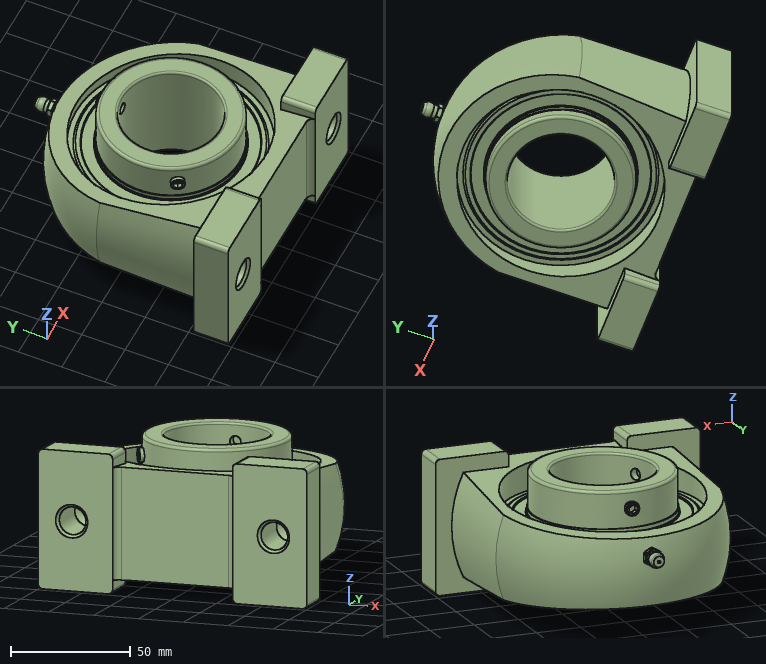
import cadquery as cq
import math


BASE_LENGTH = 120.0
BASE_HEIGHT = 60.0
BASE_Y = -54.2
FOOT_LENGTH = 33.2
FOOT_THICKNESS = 15.8
FOOT_CORNER_R = 2.0
RELIEF_DEPTH = 2.9
FOOT_GAP = BASE_LENGTH - 2 * FOOT_LENGTH

BOLT_SPACING = 90.0
BOLT_HOLE_D = 11.9
BOLT_HOLE_DEPTH = 20.0
BOLT_CHAMFER = 1.2
DRILL_TIP_ANGLE = 118.0

CROWN_R = 53.6
FLANK_R = 52.7
FACE_HALF_HEIGHT = 19.7
FACE_TAPER = 5.0
FLANK_END_Y = math.sqrt(CROWN_R**2 - FLANK_R**2)
RELIEF_Y = BASE_Y + RELIEF_DEPTH

ARC_MID = 1 - math.sqrt(0.5)

RECESS_D = 87.1
SEAT_SPHERE_R = 42.5
SEAT_HALF_WIDTH = 11.0

RING_HALF_WIDTH = 11.6
RING_FACE_OUTER_R = 40.1
RING_FACE_INNER_R = 38.0
SHIELD_R = 37.7
SHIELD_RECESS = 0.5
SHIELD_HALF_WIDTH = RING_HALF_WIDTH - SHIELD_RECESS
RIM_D = 64.8
RIM_HEIGHT = 0.5
SHOULDER_D = 63.8
SHOULDER_HEIGHT = 1.9
COLLAR_D = 63.0
COLLAR_TOP_Z = 30.2
COLLAR_BOTTOM_Z = -19.0
COLLAR_FILLET = 1.3
BORE_D = 45.0
BORE_FILLET = 1.0

SCREW_D = 6.0
SCREW_Z = 22.1
SCREW_END_R = 33.6
SCREW_EDGE_CHAMFER = 0.4
SCREW_AZIMUTHS = (90.0, 210.0)
SCREW_SOCKET_FLATS = 3.5
SCREW_SOCKET_DEPTH = 2.4
SCREW_BORE_D = 4.9
SCREW_BORE_END_R = 26.4

NIPPLE_Z = 7.3
NIPPLE_STEM_D = 5.9
NIPPLE_ROOT_Y = 48.0
NIPPLE_HEX_Y = 53.6
NIPPLE_HEX_LENGTH = 2.2
NIPPLE_HEX_FLATS = 7.0
NIPPLE_HEX_CHAMFER = 0.4
NIPPLE_HEAD_D = 6.8
NIPPLE_HEAD_START_Y = 57.6
NIPPLE_HEAD_END_Y = 60.8
NIPPLE_FACE_D = 4.8
NIPPLE_FACE_Y = 62.0
NIPPLE_TIP_D = 1.1
NIPPLE_TIP_Y = 62.5

REVOLVE_AXIS = ((0, 0, 0), (0, 1, 0))


def cylinder_along_y(diameter, start_y, end_y, z=0.0):
    """Solid cylinder parallel to Y between two Y positions."""
    return cq.Workplane(
        cq.Solid.makeCylinder(diameter / 2, end_y - start_y, cq.Vector(0, start_y, z), cq.Vector(0, 1, 0))
    )


def hexagon_corners(flats):
    """Size of a hexagon across its corners, from its size across flats."""
    return flats / math.cos(math.radians(30))


def face_height_at(y):
    """Z of the upper tapered face at a given Y; the lower face mirrors it."""
    return FACE_HALF_HEIGHT - y * math.tan(math.radians(FACE_TAPER))


def tapered_slab():
    """Slab whose upper and lower faces converge towards the crown."""
    base_z = face_height_at(RELIEF_Y)
    crown_z = face_height_at(CROWN_R)
    outline = [(RELIEF_Y, -base_z), (CROWN_R, -crown_z), (CROWN_R, crown_z), (RELIEF_Y, base_z)]
    return cq.Workplane("YZ").polyline(outline).close().extrude(CROWN_R, both=True)


def housing_body():
    """Barrel-shaped flanks running into a spherical crown, trimmed to the tapered faces."""
    flanks = cylinder_along_y(2 * FLANK_R, BASE_Y, FLANK_END_Y)
    ball = cq.Workplane("XY").sphere(CROWN_R)
    beyond_flanks = cq.Workplane("XY").box(
        2 * CROWN_R, CROWN_R, 2 * CROWN_R, centered=(True, False, True)
    ).translate((0, FLANK_END_Y, 0))
    crown = ball.intersect(beyond_flanks)
    return flanks.union(crown).intersect(tapered_slab())


def foot(side):
    centre_x = side * (BASE_LENGTH - FOOT_LENGTH) / 2
    block = cq.Workplane("XY").box(
        FOOT_LENGTH, FOOT_THICKNESS, BASE_HEIGHT, centered=(True, False, True)
    )
    return block.edges("|Y").fillet(FOOT_CORNER_R).translate((centre_x, BASE_Y, 0))


def relief_fillet(side):
    """Concave round between the relieved base face and the inner side of a foot."""
    r = RELIEF_DEPTH
    wall_x = side * FOOT_GAP / 2
    mid = r * ARC_MID
    return (
        cq.Workplane("XY")
        .moveTo(wall_x, RELIEF_Y)
        .lineTo(wall_x - side * r, RELIEF_Y)
        .threePointArc((wall_x - side * mid, RELIEF_Y - mid), (wall_x, BASE_Y))
        .close()
        .extrude(face_height_at(RELIEF_Y), both=True)
    )


def bolt_hole(side):
    """Blind drilled hole with a chamfered mouth and a conical end."""
    radius = BOLT_HOLE_D / 2
    tip = radius / math.tan(math.radians(DRILL_TIP_ANGLE / 2))
    profile = [
        (0, 0),
        (radius + BOLT_CHAMFER, 0),
        (radius, BOLT_CHAMFER),
        (radius, BOLT_HOLE_DEPTH),
        (0, BOLT_HOLE_DEPTH + tip),
    ]
    hole = cq.Workplane("XY").polyline(profile).close().revolve(360, *REVOLVE_AXIS)
    return hole.translate((side * BOLT_SPACING / 2, BASE_Y, 0))


def bearing_seat():
    """Through bore whose middle is a shoulder with a spherical seat."""
    recess = cq.Workplane("XY").circle(RECESS_D / 2).extrude(BASE_HEIGHT, both=True)
    land = cq.Workplane("XY").circle(RECESS_D / 2).extrude(SEAT_HALF_WIDTH, both=True)
    return recess.cut(land).union(cq.Workplane("XY").sphere(SEAT_SPHERE_R))


def nipple_hole():
    return cylinder_along_y(NIPPLE_STEM_D, NIPPLE_ROOT_Y, NIPPLE_TIP_Y, z=NIPPLE_Z)


def make_housing():
    housing = housing_body()
    for side in (-1, 1):
        housing = housing.union(foot(side)).union(relief_fillet(side))
    housing = housing.cut(bearing_seat()).cut(nipple_hole())
    for side in (-1, 1):
        housing = housing.cut(bolt_hole(side))
    return housing


def outer_ring():
    """Ring with a spherical rim, its bevelled faces stepped down to the shields."""
    seat_end_r = math.sqrt(SEAT_SPHERE_R**2 - SEAT_HALF_WIDTH**2)
    profile = (
        cq.Workplane("XZ")
        .moveTo(0, -SHIELD_HALF_WIDTH)
        .lineTo(SHIELD_R, -SHIELD_HALF_WIDTH)
        .lineTo(RING_FACE_INNER_R, -RING_HALF_WIDTH)
        .lineTo(RING_FACE_OUTER_R, -RING_HALF_WIDTH)
        .lineTo(seat_end_r, -SEAT_HALF_WIDTH)
        .threePointArc((SEAT_SPHERE_R, 0), (seat_end_r, SEAT_HALF_WIDTH))
        .lineTo(RING_FACE_OUTER_R, RING_HALF_WIDTH)
        .lineTo(RING_FACE_INNER_R, RING_HALF_WIDTH)
        .lineTo(SHIELD_R, SHIELD_HALF_WIDTH)
        .lineTo(0, SHIELD_HALF_WIDTH)
        .close()
    )
    return profile.revolve(360, *REVOLVE_AXIS)


def inner_ring():
    """Long locking collar with a low rim and a shoulder where it leaves each shield."""
    rim_z = SHIELD_HALF_WIDTH + RIM_HEIGHT
    shoulder_z = rim_z + SHOULDER_HEIGHT
    rim = cq.Workplane("XY").circle(RIM_D / 2).extrude(rim_z, both=True)
    shoulder = cq.Workplane("XY").circle(SHOULDER_D / 2).extrude(shoulder_z, both=True)
    collar = (
        cq.Workplane("XY", origin=(0, 0, COLLAR_BOTTOM_Z))
        .circle(COLLAR_D / 2)
        .extrude(COLLAR_TOP_Z - COLLAR_BOTTOM_Z)
        .faces("|Z").edges().fillet(COLLAR_FILLET)
    )
    return rim.union(shoulder).union(collar)


def bore():
    """Shaft bore with rounded mouths."""
    r = BORE_D / 2
    f = BORE_FILLET
    mid = f * ARC_MID
    return (
        cq.Workplane("XZ")
        .moveTo(0, COLLAR_BOTTOM_Z)
        .lineTo(r + f, COLLAR_BOTTOM_Z)
        .threePointArc((r + mid, COLLAR_BOTTOM_Z + mid), (r, COLLAR_BOTTOM_Z + f))
        .lineTo(r, COLLAR_TOP_Z - f)
        .threePointArc((r + mid, COLLAR_TOP_Z - mid), (r + f, COLLAR_TOP_Z))
        .lineTo(0, COLLAR_TOP_Z)
        .close()
        .revolve(360, *REVOLVE_AXIS)
    )


def radial_plane(azimuth, radius):
    """Plane facing away from the bearing axis at the set screw height."""
    a = math.radians(azimuth)
    outward = (math.cos(a), math.sin(a), 0)
    origin = (radius * outward[0], radius * outward[1], SCREW_Z)
    return cq.Workplane(cq.Plane(origin=origin, xDir=(0, 0, 1), normal=outward))


def set_screw(azimuth):
    length = SCREW_END_R - SCREW_BORE_END_R
    shank = radial_plane(azimuth, SCREW_BORE_END_R).circle(SCREW_D / 2).extrude(length)
    end_centre = radial_plane(azimuth, SCREW_END_R).plane.origin.toTuple()
    outer_end = shank.faces(cq.NearestToPointSelector(end_centre))
    return outer_end.chamfer(SCREW_EDGE_CHAMFER)


def screw_recesses(azimuth):
    """Hexagon socket in the screw's end and the open end of its hole in the bore."""
    socket = radial_plane(azimuth, SCREW_END_R).polygon(
        6, hexagon_corners(SCREW_SOCKET_FLATS)).extrude(-SCREW_SOCKET_DEPTH)
    hole = radial_plane(azimuth, 0).circle(SCREW_BORE_D / 2).extrude(SCREW_BORE_END_R)
    return socket.union(hole)


def make_bearing():
    bearing = outer_ring().union(inner_ring()).cut(bore())
    for azimuth in SCREW_AZIMUTHS:
        bearing = bearing.union(set_screw(azimuth)).cut(screw_recesses(azimuth))
    return bearing


def nipple_spindle():
    """Turned part of the nipple: stem, ball head and small tip."""
    mid_y = (NIPPLE_HEAD_START_Y + NIPPLE_HEAD_END_Y) / 2
    stem_r = NIPPLE_STEM_D / 2
    return (
        cq.Workplane("XY")
        .moveTo(0, NIPPLE_ROOT_Y)
        .lineTo(stem_r, NIPPLE_ROOT_Y)
        .lineTo(stem_r, NIPPLE_HEAD_START_Y)
        .threePointArc((NIPPLE_HEAD_D / 2, mid_y), (stem_r, NIPPLE_HEAD_END_Y))
        .lineTo(NIPPLE_FACE_D / 2, NIPPLE_FACE_Y)
        .lineTo(NIPPLE_TIP_D / 2, NIPPLE_FACE_Y)
        .lineTo(NIPPLE_TIP_D / 2, NIPPLE_TIP_Y)
        .lineTo(0, NIPPLE_TIP_Y)
        .close()
        .revolve(360, *REVOLVE_AXIS)
    )


def nipple_hexagon():
    """Hexagon collar with a corner pointing up and its corners chamfered at both ends."""
    corners = hexagon_corners(NIPPLE_HEX_FLATS)
    prism = (
        cq.Workplane("XZ", origin=(0, NIPPLE_HEX_Y, 0))
        .transformed(rotate=(0, 0, 90))
        .polygon(6, corners)
        .extrude(-NIPPLE_HEX_LENGTH)
    )
    rounded = cylinder_along_y(corners, NIPPLE_HEX_Y, NIPPLE_HEX_Y + NIPPLE_HEX_LENGTH)
    return prism.intersect(rounded.faces("|Y").edges().chamfer(NIPPLE_HEX_CHAMFER))


def make_nipple():
    return nipple_spindle().union(nipple_hexagon()).translate((0, 0, NIPPLE_Z))


housing = make_housing()
bearing = make_bearing()
nipple = make_nipple()
result = cq.Compound.makeCompound([body.solids().val() for body in (housing, bearing, nipple)])